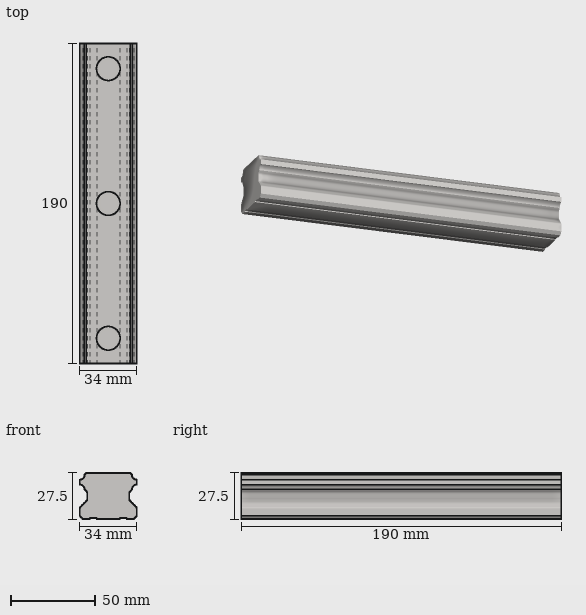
import cadquery as cq
import math

rail_width = 34.0
rail_length = 190.0
rail_height = 27.5
half_width = rail_width / 2
half_length = rail_length / 2

base_chamfer = 1.9
shoulder_height = 6.8
shoulder_fillet = 1.5

waist_width = 25.0
waist_fillet = 1.7
waist_x = waist_width / 2
waist_bottom = shoulder_height + half_width - waist_x

lip_height = 20.5
lower_track_radius = 2.8
lower_track_x = half_width - lower_track_radius
lower_track_bottom = lip_height - lower_track_radius
waist_top = lower_track_bottom - (lower_track_x - waist_x)

top_flat_width = 26.0
top_chamfer = 1.1
shelf_height = 23.5
upper_track_radius = 2.5
upper_track_x = top_flat_width / 2 + top_chamfer
upper_track_top = shelf_height + upper_track_radius

relief_width = 4.0
relief_depth = 0.5
relief_offset = 9.0

cap_diameter = 14.0
cap_recess = 0.1
cap_pitch = 80.0
cap_count = 3

ARC_MIDPOINT_INSET = 1 - math.sqrt(0.5)


def half_outline():
    """Right half of the profile, drawn from the bottom centre up to the top centre."""
    lower_inset = lower_track_radius * ARC_MIDPOINT_INSET
    upper_inset = upper_track_radius * ARC_MIDPOINT_INSET
    lower_arc_middle = (lower_track_x + lower_inset, lip_height - lower_inset)
    upper_arc_middle = (upper_track_x + upper_inset, shelf_height + upper_inset)
    return (
        cq.Workplane("XZ", origin=(0, half_length, 0))
        .moveTo(0, 0)
        .lineTo(half_width - base_chamfer, 0)
        .lineTo(half_width, base_chamfer)
        .lineTo(half_width, shoulder_height)
        .lineTo(waist_x, waist_bottom)
        .lineTo(waist_x, waist_top)
        .lineTo(lower_track_x, lower_track_bottom)
        .threePointArc(lower_arc_middle, (half_width, lip_height))
        .lineTo(half_width, shelf_height)
        .lineTo(upper_track_x + upper_track_radius, shelf_height)
        .threePointArc(upper_arc_middle, (upper_track_x, upper_track_top))
        .lineTo(upper_track_x, rail_height - top_chamfer)
        .lineTo(top_flat_width / 2, rail_height)
        .lineTo(0, rail_height)
        .close()
    )


def round_long_edge(body, x, z, radius):
    """Fillet the lengthwise edge that passes through (x, z)."""
    nearest = cq.selectors.NearestToPointSelector((x, 0, z))
    return body.edges("|Y").edges(nearest).fillet(radius)


def rail_body():
    """Extruded half rail with its rounded corners, mirrored to the full width."""
    half = half_outline().extrude(rail_length)
    half = round_long_edge(half, half_width, shoulder_height, shoulder_fillet)
    for corner_height in (waist_bottom, waist_top):
        half = round_long_edge(half, waist_x, corner_height, waist_fillet)
    return half.union(half.mirror("YZ")).clean()


def relief_grooves():
    """Pair of full-length grooves in the underside."""
    return (
        cq.Workplane("XY")
        .pushPoints([(-relief_offset, 0), (relief_offset, 0)])
        .rect(relief_width, rail_length)
        .extrude(relief_depth)
    )


def cap_recesses():
    """Row of round recesses down the middle of the top face."""
    return (
        cq.Workplane("XY", origin=(0, 0, rail_height))
        .rarray(1.9, cap_pitch, 1, cap_count)
        .circle(cap_diameter / 2)
        .extrude(-cap_recess)
    )


result = rail_body().cut(relief_grooves()).cut(cap_recesses())